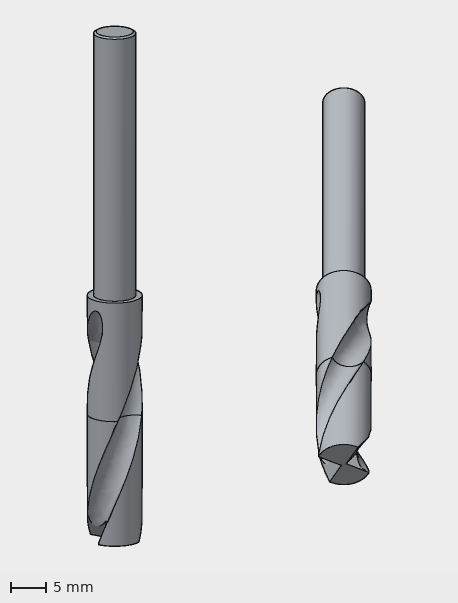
import cadquery as cq
import math

total_length = 75.0
cutter_diameter = 7.8
cutter_radius = cutter_diameter / 2
tip_length = 18.45
shoulder_height = 36.0
shank_diameter = 6.0
shank_chamfer_height = 0.2
shank_chamfer_inset = 0.4

flute_count = 2
flute_start_angle = 90.0
flute_radius = 2.55
flute_core_radius = 1.8
flute_length = 28.8
flute_twist = 180.0
runout_top = 34.5
runout_turn = 31.0
flute_offset = flute_core_radius + flute_radius
runout_offset = cutter_radius + flute_radius

gash_height = 4.5
gash_base_offset = 0.2
gash_top_offset = 2.7
gash_wall_offset = -0.3
gash_direction = 42.0
gash_reach = 2 * cutter_radius


def flute_section(height, offset, angle):
    """Round wire normal to Z, placed by distance and direction from the axis."""
    direction = math.radians(angle)
    center = cq.Vector(offset * math.cos(direction), offset * math.sin(direction), height)
    return cq.Wire.makeCircle(flute_radius, center, cq.Vector(0, 0, 1))


def make_flute(start_angle):
    """Helical channel followed by a straight run-out that leaves the surface."""
    channel = (
        cq.Workplane("XY")
        .pushPoints([(flute_offset, 0)])
        .circle(flute_radius)
        .twistExtrude(flute_length, flute_twist)
        .rotate((0, 0, 0), (0, 0, 1), start_angle)
    )
    end_angle = start_angle + flute_twist
    runout = cq.Solid.makeLoft(
        [
            flute_section(flute_length, flute_offset, end_angle),
            flute_section(runout_top, runout_offset, end_angle + runout_turn),
        ],
        True,
    )
    return channel, runout


def make_gash(turn):
    """Wedge with a leaning face, ending at an upright wall."""
    return (
        cq.Workplane("YZ", origin=(gash_wall_offset, 0, 0))
        .moveTo(-gash_base_offset, 0)
        .lineTo(-gash_top_offset, gash_height)
        .lineTo(-gash_reach, gash_height)
        .lineTo(-gash_reach, 0)
        .close()
        .extrude(-gash_reach)
        .rotate((0, 0, 0), (0, 0, 1), gash_direction + turn)
    )


def make_cutting_tip():
    """Lower full-diameter cylinder."""
    return cq.Workplane("XY").circle(cutter_radius).extrude(tip_length)


def make_holder():
    """Upper full-diameter cylinder and its chamfered shank, turned as one piece."""
    shank_radius = shank_diameter / 2
    return (
        cq.Workplane("XZ")
        .moveTo(0, tip_length)
        .lineTo(cutter_radius, tip_length)
        .lineTo(cutter_radius, shoulder_height)
        .lineTo(shank_radius, shoulder_height)
        .lineTo(shank_radius, total_length - shank_chamfer_height)
        .lineTo(shank_radius - shank_chamfer_inset, total_length)
        .lineTo(0, total_length)
        .close()
        .revolve(360, (0, 0), (0, 1))
    )


cutting_tip = make_cutting_tip()
holder = make_holder()
for index in range(flute_count):
    turn = index * 360 / flute_count
    channel, runout = make_flute(flute_start_angle + turn)
    cutting_tip = cutting_tip.cut(channel).cut(make_gash(turn))
    holder = holder.cut(channel).cut(cq.Workplane(obj=runout))

result = cq.Compound.makeCompound([cutting_tip.val(), holder.val()])